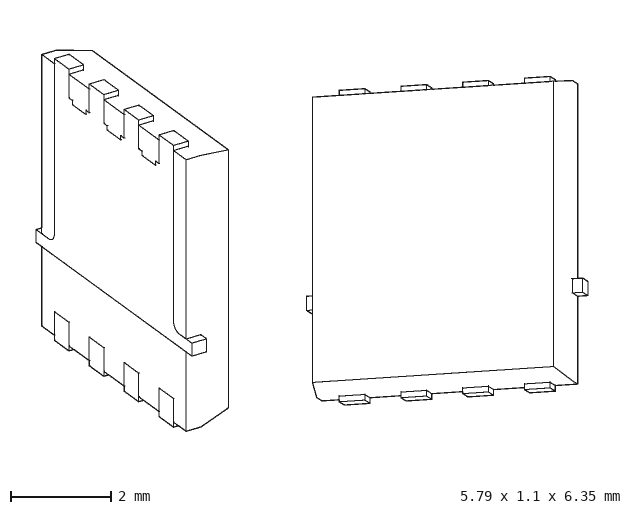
import cadquery as cq

total_width = 5.79
total_thickness = 1.1
total_height = 6.35

housing_width = 5.365
housing_height = 6.12
band_thickness = 0.35
draft_inset = 0.15

metal_thickness = band_thickness
lead_count = 4
lead_pitch = 1.295
lead_width = 0.54
lead_length = 0.65

plate_bottom_height = 1.905
wing_height = 0.29
wing_corner_radius = 0.205
notch_step_width = 0.5
notch_step_depth = 0.095

lead_row_length = (lead_count - 1) * lead_pitch
lead_centres = [i * lead_pitch - lead_row_length / 2 for i in range(lead_count)]
notch_centres = [x + lead_pitch / 2 for x in lead_centres[:-1]]
plate_width = lead_row_length + lead_width
notch_width = lead_pitch - lead_width
top_z = total_height / 2
bottom_z = -total_height / 2
plate_bottom_z = bottom_z + plate_bottom_height
wing_top_z = plate_bottom_z + wing_height


def block(width, thickness, bottom, top, centre_x=0):
    """Box from the mounting face inwards, between two heights."""
    return (
        cq.Workplane("XY")
        .box(width, thickness, top - bottom, centered=(True, False, False))
        .translate((centre_x, 0, bottom))
    )


def make_drain_plate():
    """Plate with side wings, and stepped notches that leave lead fingers."""
    plate = block(plate_width, metal_thickness, plate_bottom_z, top_z)
    wings = block(total_width, metal_thickness, plate_bottom_z, wing_top_z)
    plate = plate.union(wings)

    margin = 0.065
    corner_finder = cq.selectors.BoxSelector(
        (-plate_width / 2 - margin, -margin, wing_top_z - margin),
        (plate_width / 2 + margin, metal_thickness + margin, wing_top_z + margin),
    )
    plate = plate.edges("|Y").edges(corner_finder).fillet(wing_corner_radius)

    finger_root_z = top_z - lead_length
    for x in notch_centres:
        plate = plate.cut(block(notch_width, metal_thickness, finger_root_z, top_z, x))
        step_bottom_z = finger_root_z - notch_step_depth
        plate = plate.cut(block(notch_step_width, metal_thickness, step_bottom_z, top_z, x))
    return plate


def make_lead(centre_x):
    """Separate rectangular lead at the lower edge."""
    return block(lead_width, metal_thickness, bottom_z, bottom_z + lead_length, centre_x)


def make_housing(metal_parts):
    """Drafted moulding with a recess that fits each metal part."""
    band = block(housing_width, band_thickness, -housing_height / 2, housing_height / 2)
    drafted_block = (
        cq.Workplane("XZ", origin=(0, band_thickness, 0))
        .rect(housing_width, housing_height)
        .workplane(offset=band_thickness - total_thickness)
        .rect(housing_width - 2 * draft_inset, housing_height - 2 * draft_inset)
        .loft(ruled=True)
    )
    housing = band.union(drafted_block)
    for metal_part in metal_parts:
        housing = housing.cut(metal_part)
    return housing


drain_plate = make_drain_plate()
leads = [make_lead(x) for x in lead_centres]
housing = make_housing([drain_plate, *leads])

result = cq.Compound.makeCompound(
    [housing.val(), drain_plate.val(), *[lead.val() for lead in leads]]
)